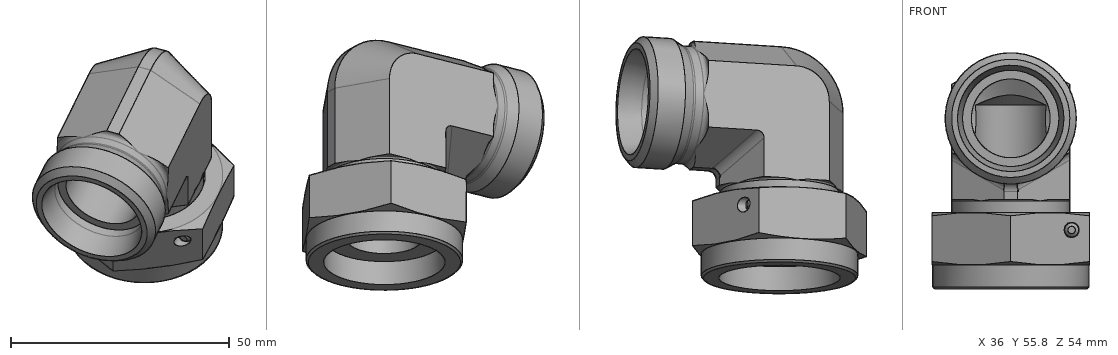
import cadquery as cq
import math


BODY_WIDTH = 27.0
HALF_WIDTH = BODY_WIDTH / 2
SIDE_EDGE = HALF_WIDTH * math.tan(math.radians(30))
CUT_HEIGHT = 14.73
CUT_HALF_WIDTH = (2 * SIDE_EDGE - CUT_HEIGHT) / math.tan(math.radians(30))
HORIZONTAL_LEG = 21.0
VERTICAL_LEG = 18.5
INNER_CORNER_RADIUS = 2.0

PORT_END = 35.0
PORT_RADIUS = 30.0 / 2
PORT_LENGTH = 8.0
PORT_CHAMFER = 1.5
NECK_RADIUS = BODY_WIDTH / 2
NECK_FILLET = 1.2
RUNOUT_ANGLE = 30.0
RUNOUT_FILLET = 1.0

MOUTH_RADIUS = 24.3 / 2
TUBE_RADIUS = 22.0 / 2
TUBE_DEPTH = 7.5
SEAT_ANGLE = 12.0
PORT_BORE_RADIUS = 18.0 / 2
STEM_BORE_RADIUS = 17.0 / 2
PORT_BORE_OVERRUN = 2.4
STEM_BORE_OVERRUN = 3.0
DRILL_TIP_ANGLE = 59.0

STEM_RADIUS = BODY_WIDTH / 2
STEM_FILLET = (27.75 - BODY_WIDTH) / 2

NUT_WIDTH = 36.0
NUT_TOP = -21.5
HEX_HEIGHT = 12.0
NUT_BOTTOM = -39.0
HEX_BOTTOM = NUT_TOP - HEX_HEIGHT
NUT_POINT_RADIUS = NUT_WIDTH / 2 / math.cos(math.radians(30))
NUT_FACE_RADIUS = 35.8 / 2
NUT_CHAMFER_ANGLE = 15.0
NUT_END_CHAMFER = 0.5
NUT_BORE_RADIUS = 27.75 / 2
STEM_BOTTOM = HEX_BOTTOM

WIRE_RADIUS = 3.2 / 2
WIRE_HOLE_RADIUS = 3.4 / 2
WIRE_RING_RADIUS = 27.84 / 2
WIRE_Z = NUT_TOP - 4.0
WIRE_TIP_Y = -12.0
WIRE_TIP_CHAMFER = 0.75
WIRE_BEND = 270.0


def leg_section(plane):
    """Hexagonal leg section with flat-cut points, across local x and along local y."""
    half = [(CUT_HALF_WIDTH, CUT_HEIGHT), (HALF_WIDTH, SIDE_EDGE)]
    half += [(x, -y) for x, y in reversed(half)]
    mirrored = [(-x, y) for x, y in reversed(half)]
    return cq.Workplane(plane).polyline(half + mirrored).close()


def bend():
    """Quarter turn of the outer half section about the X axis."""
    points = [
        (-HALF_WIDTH, 0),
        (-HALF_WIDTH, SIDE_EDGE),
        (-CUT_HALF_WIDTH, CUT_HEIGHT),
        (CUT_HALF_WIDTH, CUT_HEIGHT),
        (HALF_WIDTH, SIDE_EDGE),
        (HALF_WIDTH, 0),
    ]
    half_section = cq.Workplane("XY").polyline(points).close()
    return half_section.revolve(90, (0, 0, 0), (1, 0, 0))


def inner_corner_edges(body):
    """Mitre edges where the two legs meet on the inner side, on the plane y = z."""
    edges = []
    for edge in body.edges().vals():
        ends = (edge.startPoint(), edge.endPoint())
        if all(abs(p.y - p.z) < 1e-6 and p.y < -1 for p in ends):
            edges.append(edge)
    return edges


def elbow_block():
    horizontal = leg_section("XZ").extrude(HORIZONTAL_LEG)
    vertical = leg_section("XY").extrude(-VERTICAL_LEG)
    block = horizontal.union(vertical).union(bend())
    return block.newObject(inner_corner_edges(block)).fillet(INNER_CORNER_RADIUS)


def port():
    """Neck and thread, turned about the Y axis."""
    thread_start = PORT_END - PORT_LENGTH
    runout_length = (PORT_RADIUS - NECK_RADIUS) / math.tan(math.radians(RUNOUT_ANGLE))
    corner = thread_start - runout_length
    tangent = RUNOUT_FILLET * math.tan(math.radians(RUNOUT_ANGLE / 2))
    along = math.cos(math.radians(RUNOUT_ANGLE))
    across = math.sin(math.radians(RUNOUT_ANGLE))
    half_along = math.cos(math.radians(RUNOUT_ANGLE / 2))
    half_across = math.sin(math.radians(RUNOUT_ANGLE / 2))
    arc_start_y = -(corner - tangent)
    arc_middle = (
        NECK_RADIUS + RUNOUT_FILLET * (1 - half_along),
        arc_start_y - RUNOUT_FILLET * half_across,
    )
    arc_end = (NECK_RADIUS + tangent * across, -(corner + tangent * along))

    neck_fillet_end = (NECK_RADIUS, -(HORIZONTAL_LEG + NECK_FILLET))
    neck_fillet_middle = (
        NECK_RADIUS + NECK_FILLET * (1 - math.sqrt(0.5)),
        -(HORIZONTAL_LEG + NECK_FILLET * (1 - math.sqrt(0.5))),
    )
    profile = (
        cq.Workplane("XY")
        .lineTo(0, -HORIZONTAL_LEG)
        .lineTo(NECK_RADIUS + NECK_FILLET, -HORIZONTAL_LEG)
        .threePointArc(neck_fillet_middle, neck_fillet_end)
        .lineTo(NECK_RADIUS, arc_start_y)
        .threePointArc(arc_middle, arc_end)
        .lineTo(PORT_RADIUS, -thread_start)
        .lineTo(PORT_RADIUS, -(PORT_END - PORT_CHAMFER))
        .lineTo(PORT_RADIUS - PORT_CHAMFER, -PORT_END)
        .lineTo(0, -PORT_END)
        .close()
    )
    turned = profile.revolve(360, (0, 0, 0), (0, 1, 0))
    outline = leg_section("XZ").extrude(HORIZONTAL_LEG + NECK_FILLET)
    beyond_fillet = (
        cq.Workplane("XZ").workplane(offset=HORIZONTAL_LEG + NECK_FILLET).circle(PORT_RADIUS)
        .extrude(PORT_END - HORIZONTAL_LEG - NECK_FILLET)
    )
    return turned.intersect(outline.union(beyond_fillet))


def stem():
    """Round stem below the vertical leg, with a small fillet kept inside the leg outline."""
    middle_step = STEM_FILLET * (1 - math.sqrt(0.5))
    profile = (
        cq.Workplane("XZ")
        .moveTo(0, -VERTICAL_LEG)
        .lineTo(STEM_RADIUS + STEM_FILLET, -VERTICAL_LEG)
        .threePointArc(
            (STEM_RADIUS + middle_step, -VERTICAL_LEG - middle_step),
            (STEM_RADIUS, -VERTICAL_LEG - STEM_FILLET),
        )
        .lineTo(STEM_RADIUS, STEM_BOTTOM)
        .lineTo(0, STEM_BOTTOM)
        .close()
    )
    turned = profile.revolve(360, (0, 0, 0), (0, 1, 0))
    return turned.intersect(leg_section("XY").extrude(STEM_BOTTOM))


def drill_tip_length(radius):
    return radius / math.tan(math.radians(DRILL_TIP_ANGLE))


def port_bore():
    """Tapered tube seat, tube stop and drilled bore, turned about the Y axis."""
    seat_length = (MOUTH_RADIUS - TUBE_RADIUS) / math.tan(math.radians(SEAT_ANGLE))
    tube_stop = -(PORT_END - TUBE_DEPTH)
    profile = cq.Workplane("XY").polyline([
        (0, -PORT_END),
        (MOUTH_RADIUS, -PORT_END),
        (TUBE_RADIUS, -PORT_END + seat_length),
        (TUBE_RADIUS, tube_stop),
        (PORT_BORE_RADIUS, tube_stop),
        (PORT_BORE_RADIUS, PORT_BORE_OVERRUN),
        (0, PORT_BORE_OVERRUN + drill_tip_length(PORT_BORE_RADIUS)),
    ]).close()
    return profile.revolve(360, (0, 0, 0), (0, 1, 0))


def stem_bore():
    profile = cq.Workplane("XZ").polyline([
        (0, STEM_BOTTOM),
        (STEM_BORE_RADIUS, STEM_BOTTOM),
        (STEM_BORE_RADIUS, STEM_BORE_OVERRUN),
        (0, STEM_BORE_OVERRUN + drill_tip_length(STEM_BORE_RADIUS)),
    ]).close()
    return profile.revolve(360, (0, 0, 0), (0, 1, 0))


def wire_groove():
    """Full ring groove that the wire fills, half in the stem and half in the nut."""
    section = cq.Workplane("XZ").center(WIRE_RING_RADIUS, WIRE_Z).circle(WIRE_RADIUS)
    return section.revolve(360, (-WIRE_RING_RADIUS, 0, 0), (-WIRE_RING_RADIUS, 1, 0))


def tangent_rod(radius, start_y):
    """Straight rod along Y that ends where it touches the wire ring."""
    section = cq.Workplane("XZ", origin=(WIRE_RING_RADIUS, start_y, WIRE_Z)).circle(radius)
    return section.extrude(start_y)


def wire_hole():
    return tangent_rod(WIRE_HOLE_RADIUS, -NUT_POINT_RADIUS)


def make_elbow():
    solid = elbow_block().union(port()).union(stem())
    return solid.cut(port_bore()).cut(stem_bore()).cut(wire_groove()).cut(wire_hole())


def make_nut():
    corner_drop = (NUT_POINT_RADIUS - NUT_FACE_RADIUS) * math.tan(math.radians(NUT_CHAMFER_ANGLE))
    hexagon = (
        cq.Workplane("XY", origin=(0, 0, HEX_BOTTOM))
        .polygon(6, 2 * NUT_POINT_RADIUS)
        .extrude(HEX_HEIGHT)
        .rotate((0, 0, 0), (0, 0, 1), 30)
    )
    chamfered_blank = cq.Workplane("XZ").polyline([
        (0, HEX_BOTTOM),
        (NUT_FACE_RADIUS, HEX_BOTTOM),
        (NUT_POINT_RADIUS, HEX_BOTTOM + corner_drop),
        (NUT_POINT_RADIUS, NUT_TOP - corner_drop),
        (NUT_FACE_RADIUS, NUT_TOP),
        (0, NUT_TOP),
    ]).close().revolve(360, (0, 0, 0), (0, 1, 0))
    skirt = (
        cq.Workplane("XY", origin=(0, 0, NUT_BOTTOM))
        .circle(NUT_FACE_RADIUS)
        .extrude(HEX_BOTTOM - NUT_BOTTOM)
        .faces("<Z").chamfer(NUT_END_CHAMFER)
    )
    bore = (
        cq.Workplane("XY", origin=(0, 0, NUT_BOTTOM))
        .circle(NUT_BORE_RADIUS)
        .extrude(NUT_TOP - NUT_BOTTOM)
    )
    solid = hexagon.intersect(chamfered_blank).union(skirt)
    return solid.cut(bore).cut(wire_groove()).cut(wire_hole())


def make_wire():
    entry = tangent_rod(WIRE_RADIUS, WIRE_TIP_Y).faces("<Y").chamfer(WIRE_TIP_CHAMFER)
    section = cq.Workplane("XZ").center(WIRE_RING_RADIUS, WIRE_Z).circle(WIRE_RADIUS)
    ring = section.revolve(WIRE_BEND, (-WIRE_RING_RADIUS, 0, 0), (-WIRE_RING_RADIUS, 1, 0))
    return entry.union(ring)


elbow = make_elbow()
nut = make_nut()
wire = make_wire()

result = cq.Compound.makeCompound([elbow.val(), nut.val(), wire.val()])